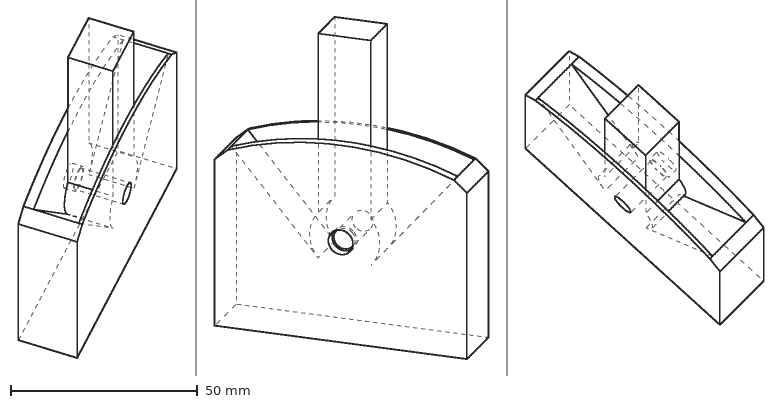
import cadquery as cq
import math

width = 17.0
length = 71.9
total_height = 86.8
end_height = 47.8
shoulder_height = 51.0
crown_height = 56.75
shoulder_run = 3.7

thick_wall = 2.95
thin_wall = 1.0

lever_length = 15.0
hub_radius = 10.0
pivot_height = 28.8
wall_hole_diameter = 7.0
hub_hole_diameter = 6.0

half_length = length / 2
mouth_half = half_length - shoulder_run
cavity_width = width - thick_wall - thin_wall
left_face = -width / 2
cavity_start = left_face + thick_wall


def side_plane(x):
    """YZ sketch plane at the given X, with its normal along +X."""
    return cq.Workplane("YZ", origin=(x, 0, 0))


def make_housing():
    return (
        side_plane(left_face)
        .moveTo(-half_length, 0)
        .lineTo(half_length, 0)
        .lineTo(half_length, end_height)
        .lineTo(mouth_half, shoulder_height)
        .threePointArc((0, crown_height), (-mouth_half, shoulder_height))
        .lineTo(-half_length, end_height)
        .close()
        .extrude(width)
    )


def make_cavity():
    """V-shaped pocket whose sloping sides are tangent to the lever hub."""
    rise = shoulder_height - pivot_height
    mouth_distance = math.hypot(mouth_half, rise)
    tangent_angle = math.atan2(rise, mouth_half) - math.acos(hub_radius / mouth_distance)
    tangent_y = hub_radius * math.cos(tangent_angle)
    tangent_z = pivot_height + hub_radius * math.sin(tangent_angle)
    return (
        side_plane(cavity_start)
        .moveTo(-tangent_y, tangent_z)
        .lineTo(tangent_y, tangent_z)
        .lineTo(mouth_half, shoulder_height)
        .lineTo(mouth_half, total_height)
        .lineTo(-mouth_half, total_height)
        .lineTo(-mouth_half, shoulder_height)
        .close()
        .extrude(cavity_width)
    )


def make_lever():
    hub = side_plane(cavity_start).center(0, pivot_height).circle(hub_radius).extrude(cavity_width)
    bar_height = total_height - pivot_height
    bar = (
        side_plane(cavity_start)
        .center(0, pivot_height + bar_height / 2)
        .rect(lever_length, bar_height)
        .extrude(cavity_width)
    )
    return hub.union(bar)


def make_pivot_hole(start_x, depth, diameter):
    return side_plane(start_x).center(0, pivot_height).circle(diameter / 2).extrude(depth)


result = make_housing().cut(make_cavity()).union(make_lever())
result = result.cut(make_pivot_hole(left_face, width, hub_hole_diameter))
result = result.cut(make_pivot_hole(left_face, thick_wall, wall_hole_diameter))